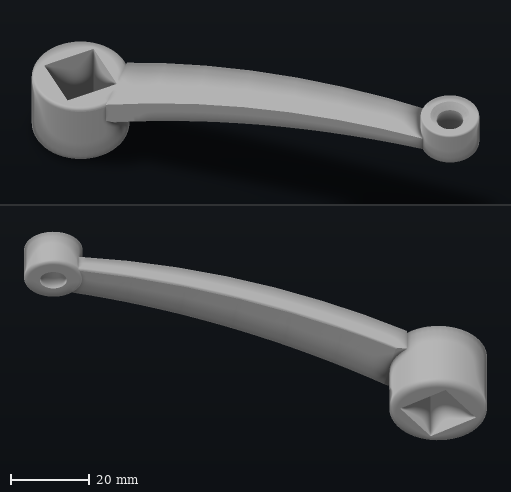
import cadquery as cq

hub_diameter = 25.0
hub_height = 19.0
hub_top_fillet = 1.0
hub_bottom_fillet = 1.7
socket_side = 13.9

overall_length = 119.9
overall_height = 38.0
boss_diameter = 15.0
boss_height = 10.1
boss_top_fillet = 0.5
boss_bottom_fillet = 1.0
handle_hole_diameter = 6.8
countersink_size = 1.5
boss_x = overall_length - (hub_diameter + boss_diameter) / 2
boss_base_z = overall_height - boss_height

arm_start_x = 9.7
arm_end_x = 94.7
arm_middle_x = 50.4
arm_start_width = 16.1
arm_end_width = 10.1
top_middle_z = 30.0
top_end_z = 32.5
bottom_start_z = 13.2
bottom_middle_z = 23.9
bottom_end_z = 28.4
arm_bottom_fillet = 0.5


def round_post(diameter, height, top_fillet, bottom_fillet):
    """Upright cylinder with rounded rims and its base at Z = 0."""
    post = cq.Workplane("XY").circle(diameter / 2).extrude(height)
    return post.faces(">Z").edges().fillet(top_fillet).faces("<Z").edges().fillet(bottom_fillet)


def curved_arm():
    """Arched side profile trimmed to a tapering plan outline."""
    profile = (
        cq.Workplane("XZ")
        .moveTo(arm_start_x, bottom_start_z)
        .lineTo(hub_diameter / 2, bottom_start_z)
        .threePointArc((arm_middle_x, bottom_middle_z), (arm_end_x, bottom_end_z))
        .lineTo(arm_end_x, top_end_z)
        .threePointArc((arm_middle_x, top_middle_z), (arm_start_x, hub_height))
        .close()
        .extrude(hub_diameter / 2, both=True)
    )
    plan = (
        cq.Workplane("XY")
        .polyline([
            (arm_start_x, -arm_start_width / 2),
            (arm_end_x, -arm_end_width / 2),
            (arm_end_x, arm_end_width / 2),
            (arm_start_x, arm_start_width / 2),
        ])
        .close()
        .extrude(overall_height)
    )
    arm = profile.intersect(plan)
    arch_middle = (arm_middle_x, 0, bottom_middle_z)
    underside = arm.faces(cq.selectors.NearestToPointSelector(arch_middle))
    return underside.edges("not |Y").fillet(arm_bottom_fillet)


hub = round_post(hub_diameter, hub_height, hub_top_fillet, hub_bottom_fillet)
boss = round_post(boss_diameter, boss_height, boss_top_fillet, boss_bottom_fillet)
boss = boss.translate((boss_x, 0, boss_base_z))
body = hub.union(curved_arm()).union(boss)

socket = cq.Workplane("XY").rect(socket_side, socket_side).extrude(hub_height)
socket = socket.rotate((0, 0, 0), (0, 0, 1), 45)

handle_hole = (
    cq.Workplane("XY", origin=(boss_x, 0, boss_base_z))
    .circle(handle_hole_diameter / 2)
    .extrude(boss_height)
)
countersink = (
    cq.Workplane("XY", origin=(boss_x, 0, overall_height - countersink_size))
    .circle(handle_hole_diameter / 2)
    .workplane(offset=countersink_size)
    .circle(handle_hole_diameter / 2 + countersink_size)
    .loft(ruled=True)
)

result = body.cut(socket).cut(handle_hole).cut(countersink)